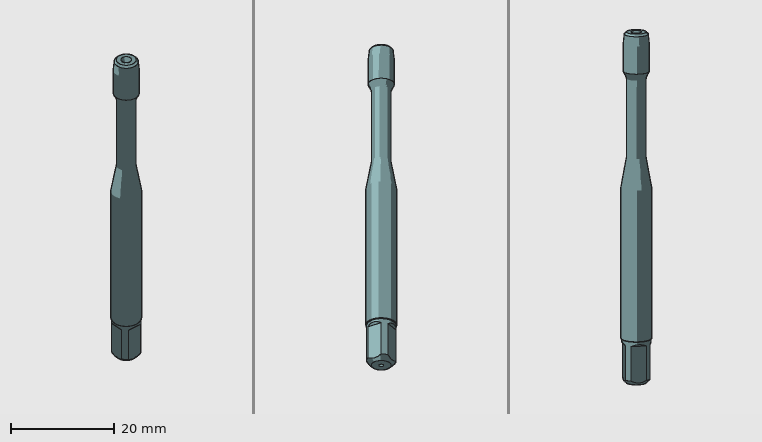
import cadquery as cq
import math

shank_dia = 6.0
square_dia = 5.75
across_flats = 4.9
neck_dia = 3.85
head_dia = 5.1
lead_dia = 4.7
end_face_dia = 3.85

length = 70.0
shank_bottom = 8.9
shank_top = 39.0
neck_bottom = 45.0
neck_top = 60.7
relief_top = 61.1
relief_dia = 4.05
head_bottom = 62.15
head_top = 67.6

flat_top = 7.85
shank_step = 0.15

hole_dia = 0.9
countersink_dia = 2.0
countersink_half_angle = math.radians(30)

end_chamfer = (square_dia - end_face_dia) / 2
lead_chamfer = (lead_dia - end_face_dia) / 2


def make_body():
    """Revolve the whole stepped outline about Z."""
    sections = [
        (end_face_dia, 0),
        (square_dia, end_chamfer),
        (square_dia, shank_bottom - shank_step),
        (shank_dia, shank_bottom),
        (shank_dia, shank_top),
        (neck_dia, neck_bottom),
        (neck_dia, neck_top),
        (relief_dia, relief_top),
        (head_dia, head_bottom),
        (head_dia, head_top),
        (lead_dia, length - lead_chamfer),
        (end_face_dia, length),
    ]
    outline = cq.Workplane("XZ").moveTo(0, 0)
    for diameter, height in sections:
        outline = outline.lineTo(diameter / 2, height)
    return outline.lineTo(0, length).close().revolve(360, (0, 0), (0, 1))


def make_flat_cutter():
    """Block removing the +X flat, with a sloped upper end."""
    inner = across_flats / 2
    outer = shank_dia
    return (
        cq.Workplane("XZ")
        .moveTo(inner, 0)
        .lineTo(outer, 0)
        .lineTo(outer, flat_top)
        .lineTo(square_dia / 2, flat_top + square_dia / 2 - inner)
        .lineTo(inner, flat_top)
        .close()
        .extrude(shank_dia / 2, both=True)
    )


def make_centre_hole():
    """Through hole, countersunk at the head end."""
    countersink_depth = (countersink_dia - hole_dia) / 2 / math.tan(countersink_half_angle)
    return (
        cq.Workplane("XZ")
        .lineTo(hole_dia / 2, 0)
        .lineTo(hole_dia / 2, length - countersink_depth)
        .lineTo(countersink_dia / 2, length)
        .lineTo(0, length)
        .close()
        .revolve(360, (0, 0), (0, 1))
    )


result = make_body()
flat_cutter = make_flat_cutter()
for quarter in range(4):
    result = result.cut(flat_cutter.rotate((0, 0, 0), (0, 0, 1), 90 * quarter))
result = result.cut(make_centre_hole())